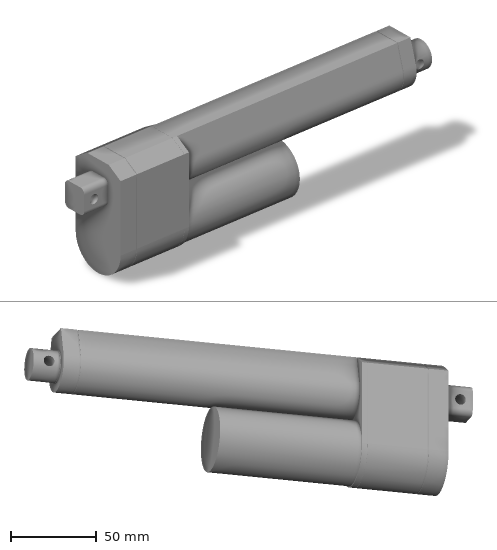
import cadquery as cq
import math


length = 268.4
housing_start = 18.2
housing_groove = 30.5
housing_seam = 67.5
housing_end = 71.0
motor_end = 157.5
tube_groove = 241.5
tube_end = 251.7

housing_width = 40.0
housing_height = 76.2
top_height = 21.0
top_flat_width = 18.8
housing_bevel_drop = 6.5
groove_width = 0.8
groove_depth = 0.3
seam_width = 0.13
seam_depth = 0.13

tube_radius = 15.0
tube_shoulder_height = 5.0

motor_diameter = 38.6
motor_z = top_height - housing_height + housing_width / 2

rod_diameter = 19.0
collar_diameter = 19.9
collar_length = 0.5
tang_width = 17.2
tang_height = 18.2
tang_z = 1.5
tang_corner_radius = 3.5
tang_embed = 2.7
pin_diameter = 6.5
rear_pin_y = 7.5
rod_pin_y = 259.0


def section_plane(y):
    """Plane across the length, with local x along X and local y along Z."""
    return cq.Workplane("XZ", origin=(0, y, 0))


def housing_section(start, end, inset=0.0):
    half_width = housing_width / 2 - inset
    half_flat = top_flat_width / 2
    top = top_height - inset
    shoulder = top - housing_bevel_drop
    return (
        section_plane(start)
        .moveTo(-half_flat, top)
        .lineTo(half_flat, top)
        .lineTo(half_width, shoulder)
        .lineTo(half_width, motor_z)
        .threePointArc((0, motor_z - half_width), (-half_width, motor_z))
        .lineTo(-half_width, shoulder)
        .close()
        .extrude(start - end)
    )


def tube_section(start, end, inset=0.0):
    """Round-bottomed tube whose sides taper to a narrow flat top."""
    radius = tube_radius - inset
    half_flat = top_flat_width / 2 - inset
    top = top_height - inset
    shoulder_x = math.sqrt(radius**2 - tube_shoulder_height**2)
    return (
        section_plane(start)
        .moveTo(-half_flat, top)
        .lineTo(half_flat, top)
        .lineTo(shoulder_x, tube_shoulder_height)
        .threePointArc((0, -radius), (-shoulder_x, tube_shoulder_height))
        .close()
        .extrude(start - end)
    )


def cylinder_along_y(diameter, start, end, z=0.0):
    return section_plane(start).center(0, z).circle(diameter / 2).extrude(start - end)


def groove_around(section, center, width, depth):
    """Shallow ring to cut around a section."""
    start = center - width / 2
    end = center + width / 2
    return section(start, end).cut(section(start, end, depth))


def cross_pin_hole(y, z):
    return (
        cq.Workplane("YZ")
        .center(y, z)
        .circle(pin_diameter / 2)
        .extrude(housing_width, both=True)
    )


housing = housing_section(housing_start, housing_end)
housing = housing.cut(groove_around(housing_section, housing_groove, groove_width, groove_depth))
housing = housing.cut(groove_around(housing_section, housing_seam, seam_width, seam_depth))

tube = tube_section(housing_end, tube_end)
tube = tube.cut(groove_around(tube_section, tube_groove, groove_width, groove_depth))

motor = cylinder_along_y(motor_diameter, housing_end, motor_end, motor_z)
collar = cylinder_along_y(collar_diameter, tube_end, tube_end + collar_length)
rod = cylinder_along_y(rod_diameter, tube_end, length)

tang_length = housing_start + tang_embed
tang = (
    section_plane(0)
    .center(0, tang_z)
    .rect(tang_width, tang_height)
    .extrude(-tang_length)
    .edges("|Y")
    .fillet(tang_corner_radius)
)

result = housing.union(tube).union(motor).union(collar).union(rod).union(tang)
result = result.cut(cross_pin_hole(rear_pin_y, tang_z))
result = result.cut(cross_pin_hole(rod_pin_y, 0))